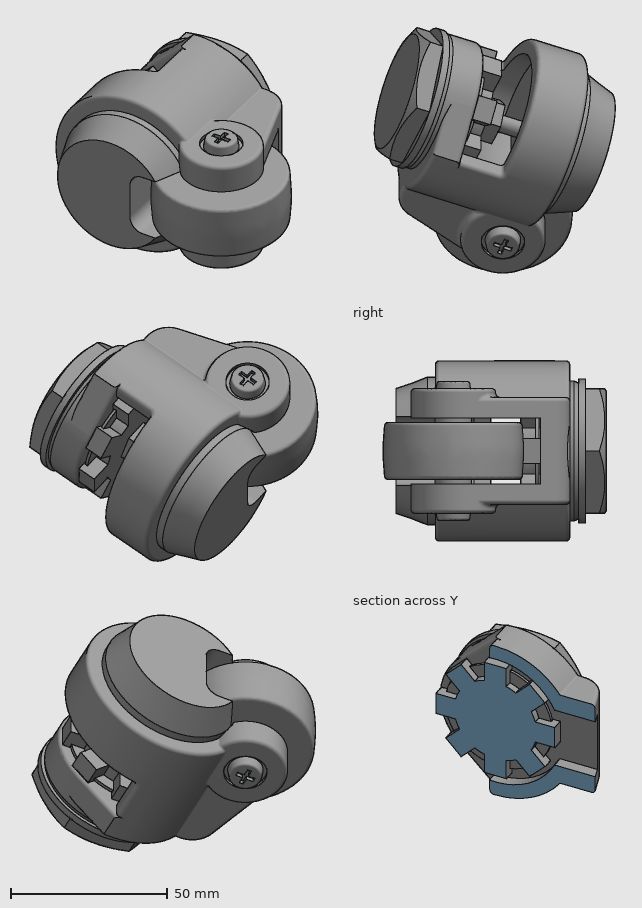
import cadquery as cq
import math


body_radius = 28.9
bore_radius = 23.65
body_bottom = -5.8
body_top = 37.3
body_round = 1.4
ring_radius = 22.4
flat_angle = math.radians(46.3)
ring_top = 40.05
ring_round = 1.4
ring_chamfer = 1.4

window_edge_x = -2.1
window_top = 27.8
window_bottom_inner = 13.1
window_bottom_outer = 11.6
window_corner = 1.3
window_round = 1.55

axle_x = 30.2
boss_radius = 13.55
boss_half_span = 20.0
boss_round = 1.3
web_half_span = 17.1
web_end_radius = 12.9
web_lean = math.radians(18)
web_corner = 9.0
boss_root_round = 1.5
arm_root_round = 0.8
arm_gap = 21.05

wheel_radius = 22.5
wheel_width = 18.3
wheel_crown = 0.6
wheel_round = 1.15
spacer_radius = 5.9

head_base_radius = 5.7
head_taper = 9.0
head_top = 22.2
head_round = 0.7
recess_radius = 6.9
recess_depth = 1.2
cross_span = 6.0
cross_width = 1.4
cross_depth = 1.5

cap_flats = 40.0
cap_top = 48.95
cap_flat_radius = 19.2
flange_radius = 23.1
flange_top = 42.3

tooth_count = 8
tooth_tip = 21.4
tooth_width = 7.9
gear_root_radius = 14.9
gear_bottom = 21.5
disc_radius = 19.25
disc_top = 27.3
disc_bottom = 26.35
nut_flats = 13.1
nut_bottom = 14.6
stem_radius = 2.8

foot_top = 6.5
foot_shoulder = -8.3
foot_bottom = -18.4
foot_face_radius = 20.0
pocket_width = 22.0
pocket_start_x = 7.3
pocket_corner = 4.65

margin = 16.3
pick = 0.1


def along_y(y):
    """Workplane square to the stem axis at height y, extruding towards +Y; its local y is -Z."""
    return cq.Workplane("XZ", origin=(0, y, 0)).transformed(rotate=(180, 0, 0))


def disc(radius, low, high):
    """Cylinder on the stem axis."""
    return along_y(low).circle(radius).extrude(high - low)


def hexagon(flats, low, high):
    """Hexagonal prism with corners on the X axis."""
    return along_y(low).polygon(6, flats / math.cos(math.pi / 6)).extrude(high - low)


def axle_disc(radius, low, high):
    """Cylinder on the wheel axle."""
    return cq.Workplane("XY", origin=(axle_x, 0, low)).circle(radius).extrude(high - low)


def crown():
    """Upper ring with slanted flats running out tangentially to the big round body."""
    open_side = cq.selectors.BoxSelector(
        (-body_radius, window_top - pick, -body_radius),
        (0, window_top + pick, body_radius),
    )
    flat_start_x = -ring_radius * math.cos(flat_angle)
    flat_start_z = ring_radius * math.sin(flat_angle)
    flat_far_x = flat_start_x + body_radius * math.sin(flat_angle)
    flat_far_z = flat_start_z + body_radius * math.cos(flat_angle)
    wedge = (
        along_y(window_top)
        .moveTo(flat_start_x, -flat_start_z)
        .lineTo(flat_far_x, -flat_far_z)
        .lineTo(body_radius, -flat_far_z)
        .lineTo(body_radius, flat_far_z)
        .lineTo(flat_far_x, flat_far_z)
        .lineTo(flat_start_x, flat_start_z)
        .close()
        .extrude(body_top - window_top)
    )
    upper = disc(body_radius, window_top, body_top).intersect(wedge)
    upper = upper.union(disc(ring_radius, window_top, body_top))
    upper = upper.faces(">Y").edges().fillet(body_round)
    upper = upper.faces("<Y").edges(open_side).fillet(ring_round)
    collar = disc(ring_radius, window_top + ring_round, ring_top)
    return upper.union(collar.faces(">Y").edges().chamfer(ring_chamfer, ring_chamfer / 2))


def band():
    """Round lower body with the side window cut into it."""
    window = (
        cq.Workplane("XY", origin=(0, 0, -body_radius - margin))
        .moveTo(-body_radius - margin, window_top)
        .lineTo(window_edge_x, window_top)
        .lineTo(window_edge_x, window_bottom_inner)
        .lineTo(-body_radius, window_bottom_outer)
        .lineTo(-body_radius - margin, window_bottom_outer)
        .close()
        .extrude(2 * (body_radius + margin))
    )
    window = window.edges("(|Z and >X) exc >Y").fillet(window_corner)
    body = disc(body_radius, body_bottom, window_top).faces("<Y").edges().fillet(body_round).cut(window)
    window_edges = cq.selectors.BoxSelector(
        (-body_radius, body_bottom + body_round + pick, -body_radius),
        (window_edge_x + pick, window_top - pick, body_radius),
    )
    return body.edges(window_edges).edges("not |Z").fillet(window_round)


def arms():
    """Web plate running down to a round boss on each side."""
    tangent_x = axle_x + web_end_radius * math.cos(web_lean)
    tangent_y = web_end_radius * math.sin(web_lean)
    corner_x = tangent_x - (body_top - tangent_y) * math.tan(web_lean)
    web = (
        cq.Workplane("XY", origin=(0, 0, -web_half_span))
        .moveTo(0, body_top)
        .lineTo(corner_x, body_top)
        .lineTo(tangent_x, tangent_y)
        .lineTo(axle_x, 0)
        .lineTo(0, 0)
        .close()
        .extrude(2 * web_half_span)
    )
    web = web.edges(cq.selectors.NearestToPointSelector((corner_x, body_top, 0))).fillet(web_corner)
    web = web.faces("<Z or >Z").edges().fillet(body_round)
    boss = axle_disc(boss_radius, -boss_half_span, boss_half_span)
    both = web.union(boss.faces("<Z or >Z").edges().fillet(boss_round))
    boss_root = cq.selectors.BoxSelector(
        (axle_x - boss_radius, web_end_radius / 2, -web_half_span - pick),
        (axle_x + boss_radius, boss_radius + pick, web_half_span + pick),
    )
    root_arcs = both.edges(boss_root).edges("%CIRCLE").edges("<Z or >Z")
    return root_arcs.fillet(boss_root_round)


def housing():
    """Body with its arms, bored for the foot and slotted for the wheel."""
    frame = band().union(arms()).union(crown())
    root_x = math.sqrt(body_radius**2 - web_half_span**2)
    web_meets_body = cq.selectors.BoxSelector(
        (root_x - pick, boss_radius, -web_half_span - pick),
        (root_x + pick, body_top, web_half_span + pick),
    )
    frame = frame.edges(web_meets_body).edges("|Y").fillet(arm_root_round)
    bore = disc(bore_radius, body_bottom - margin, window_top)
    slot_length = axle_x + boss_radius + margin
    wheel_slot = (
        along_y(body_bottom - margin)
        .rect(slot_length, arm_gap)
        .extrude(window_top - body_bottom + margin)
        .translate((slot_length / 2, 0, 0))
    )
    frame = frame.cut(bore).cut(wheel_slot)
    recess = axle_disc(recess_radius, boss_half_span - recess_depth, boss_half_span)
    return frame.cut(recess).cut(recess.mirror("XY"))


def wheel():
    """Crowned tread between two flat faces."""
    half = wheel_width / 2
    tread = (
        cq.Workplane("XZ", origin=(axle_x, 0, 0))
        .moveTo(0, -half)
        .lineTo(wheel_radius - wheel_crown, -half)
        .threePointArc((wheel_radius, 0), (wheel_radius - wheel_crown, half))
        .lineTo(0, half)
        .close()
        .revolve(360, (0, 0, 0), (0, 1, 0))
    )
    return tread.faces("<Z or >Z").edges().fillet(wheel_round)


def axle():
    """Spacers beside the wheel, and a cross-slotted head at each end."""
    inner = axle_disc(spacer_radius, -arm_gap / 2, arm_gap / 2)
    head_base = boss_half_span - recess_depth
    head = (
        cq.Workplane("XY", origin=(axle_x, 0, head_base))
        .circle(head_base_radius)
        .extrude(head_top - head_base, taper=head_taper)
    )
    head = head.faces(">Z").edges().fillet(head_round)
    bar = cq.Workplane("XY").box(cross_span, cross_width, 2 * cross_depth)
    cross = bar.union(bar.rotate((0, 0, 0), (0, 0, 1), 90))
    head = head.cut(cross.translate((axle_x, 0, head_top)))
    return inner.union(head).union(head.mirror("XY"))


def cap():
    """Hexagon with its corners turned off by a 30 degree cone, on a round flange."""
    corner_radius = cap_flats / 2 / math.cos(math.pi / 6)
    corner_drop = (corner_radius - cap_flat_radius) * math.tan(math.pi / 6)
    cone = (
        cq.Workplane("XY")
        .moveTo(0, flange_top)
        .lineTo(corner_radius, flange_top)
        .lineTo(corner_radius, cap_top - corner_drop)
        .lineTo(cap_flat_radius, cap_top)
        .lineTo(0, cap_top)
        .close()
        .revolve(360, (0, 0, 0), (0, 1, 0))
    )
    flange = disc(flange_radius, ring_top, flange_top)
    return hexagon(cap_flats, flange_top, cap_top).intersect(cone).union(flange)


def adjuster():
    """Toothed wheel under the ring, with the nut and the stem below it."""
    gear = disc(gear_root_radius, gear_bottom, window_top)
    tooth = (
        along_y(gear_bottom)
        .rect(tooth_tip, tooth_width)
        .extrude(window_top - gear_bottom)
        .translate((tooth_tip / 2, 0, 0))
    )
    for index in range(tooth_count):
        gear = gear.union(tooth.rotate((0, 0, 0), (0, 1, 0), index * 360 / tooth_count))
    gear = gear.union(disc(disc_radius, disc_bottom, disc_top))
    nut = hexagon(nut_flats, nut_bottom, gear_bottom)
    return gear.union(nut).union(disc(stem_radius, foot_top, nut_bottom))


def foot():
    """Conical pad with a round-cornered pocket that clears the wheel."""
    pad = (
        cq.Workplane("XY")
        .moveTo(0, foot_top)
        .lineTo(bore_radius, foot_top)
        .lineTo(bore_radius, foot_shoulder)
        .lineTo(foot_face_radius, foot_bottom)
        .lineTo(0, foot_bottom)
        .close()
        .revolve(360, (0, 0, 0), (0, 1, 0))
    )
    pocket = along_y(foot_bottom).rect(bore_radius, pocket_width).extrude(foot_top - foot_bottom)
    pocket = pocket.edges("|Y and <X").fillet(pocket_corner)
    return pad.cut(pocket.translate((pocket_start_x + bore_radius / 2, 0, 0)))


caster = housing().union(wheel()).union(axle()).union(cap()).union(adjuster()).union(foot())
result = cq.Workplane(caster.solids().val())